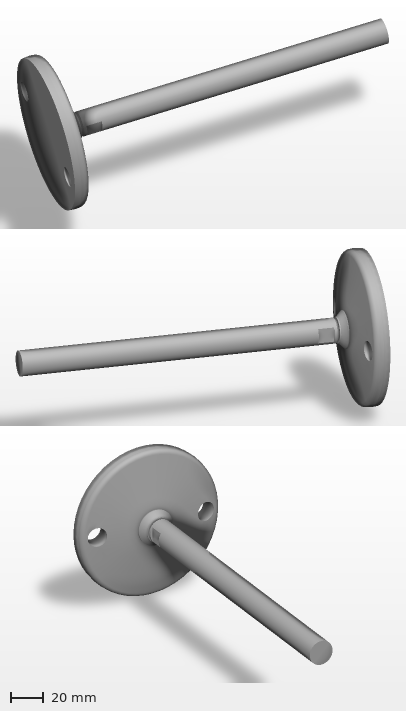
import cadquery as cq
import math

overall_length = 222.0

foot_diameter = 97.98
sole_diameter = 97.2
lower_rim_height = 4.1
upper_rim_height = 6.7
upper_rim_radius = 48.7
shoulder_radius = 3.2
cone_slope = math.radians(9.5)

collar_base_radius = 11.9
collar_step = 0.7
collar_slope = math.radians(45)
lip_radius = 8.3
lip_thickness = 0.7

hole_diameter = 12.5
hole_radius_at_sole = 36.0
hole_tilt = math.radians(10.5)

spindle_diameter = 16.0
spindle_chamfer = 1.5
width_across_flats = 13.0
flat_length = 10.0
flat_start = 24.0

shoulder_center_radius = upper_rim_radius - shoulder_radius
shoulder_end_radius = shoulder_center_radius + shoulder_radius * math.sin(cone_slope)
shoulder_end_height = upper_rim_height + shoulder_radius * math.cos(cone_slope)

collar_base_height = shoulder_end_height + (shoulder_end_radius - collar_base_radius) * math.tan(cone_slope)
collar_cone_start = collar_base_height + collar_step
collar_top_height = collar_cone_start + (collar_base_radius - lip_radius) * math.tan(collar_slope)
foot_height = collar_top_height + lip_thickness


def make_fixing_hole(side):
    """Inclined cylindrical cutter, long enough to pass through the foot."""
    direction = cq.Vector(side * math.sin(hole_tilt), math.cos(hole_tilt), 0)
    sole_point = cq.Vector(side * hole_radius_at_sole, 0, 0)
    start = sole_point - direction * foot_height
    return cq.Solid.makeCylinder(hole_diameter / 2, 2 * foot_height, start, direction)


def make_foot():
    """Revolved foot: tapered rim, rounded shoulder, shallow cone and lipped collar."""
    arc_mid_angle = (math.pi / 2 - cone_slope) / 2
    arc_middle = (
        shoulder_center_radius + shoulder_radius * math.cos(arc_mid_angle),
        upper_rim_height + shoulder_radius * math.sin(arc_mid_angle),
    )
    profile = (
        cq.Workplane("XY")
        .moveTo(0, 0)
        .lineTo(sole_diameter / 2, 0)
        .lineTo(foot_diameter / 2, lower_rim_height)
        .lineTo(upper_rim_radius, upper_rim_height)
        .threePointArc(arc_middle, (shoulder_end_radius, shoulder_end_height))
        .lineTo(collar_base_radius, collar_base_height)
        .lineTo(collar_base_radius, collar_cone_start)
        .lineTo(lip_radius, collar_top_height)
        .lineTo(lip_radius, foot_height)
        .lineTo(0, foot_height)
        .close()
    )
    foot = profile.revolve(360, (0, 0, 0), (0, 1, 0))
    for side in (-1, 1):
        foot = foot.cut(make_fixing_hole(side))
    return foot


def make_spindle():
    """Round spindle standing on the collar, with two wrench flats near its foot end."""
    spindle = (
        cq.Workplane("XZ", origin=(0, foot_height, 0))
        .circle(spindle_diameter / 2)
        .extrude(foot_height - overall_length)
        .faces("<Y")
        .chamfer(spindle_chamfer)
    )
    flat_depth = (spindle_diameter - width_across_flats) / 2
    flat_cutter = cq.Workplane("XY").box(flat_depth, flat_length, spindle_diameter)
    for side in (-1, 1):
        flat_center = (side * (width_across_flats + flat_depth) / 2, flat_start + flat_length / 2, 0)
        spindle = spindle.cut(flat_cutter.translate(flat_center))
    return spindle


foot = make_foot()
spindle = make_spindle()
result = cq.Compound.makeCompound([foot.val(), spindle.val()])